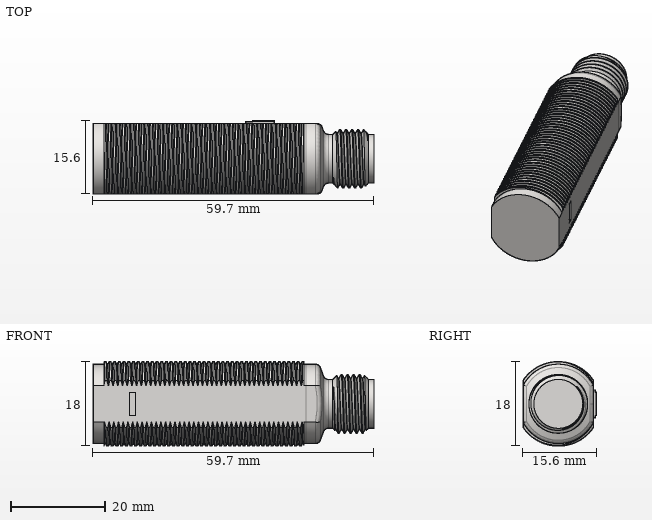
import cadquery as cq
import math

TOTAL_LENGTH = 59.72

BARREL_RADIUS = 8.45
FLAT_HALF_WIDTH = 7.5

BARREL_THREAD_START = 2.25
BARREL_THREAD_END = 44.75
BARREL_THREAD_RADIUS = 9.0
BARREL_THREAD_PITCH = 1.0
BARREL_CREST_WIDTH = 0.36
BARREL_FLANK_ANGLE = 27.0
BARREL_CREST_X = 0.80
BLOCK_TURNS = 6
OVERRUN_TURNS = 3

CAP_START = 45.25
CAP_RIM_X = 48.03
CAP_CONE_ANGLE = 20.0
CAP_RIM_FILLET = 1.1
NECK_RADIUS = 5.2
NECK_FILLET = 1.14

CONNECTOR_THREAD_START = 50.9
CONNECTOR_THREAD_END = 58.5
CONNECTOR_ROOT_RADIUS = 5.4
CONNECTOR_THREAD_RADIUS = 6.25
CONNECTOR_THREAD_PITCH = 1.27
CONNECTOR_CREST_WIDTH = 0.2
CONNECTOR_FLANK_ANGLE = 30.0
CONNECTOR_CREST_X = 49.30
CONNECTOR_TURNS = 8

RIDGE_EMBED = 0.03
SELECT_MARGIN = 0.1

SLOT_START = 7.75
SLOT_WIDTH = 1.25
SLOT_HEIGHT = 4.85
SLOT_DEPTH = 0.75

PAD_START = 32.4
PAD_END = 38.5
PAD_HEIGHT = 6.0
PAD_THICKNESS = 0.4
PAD_TOP_START = 33.9
PAD_TOP_HEIGHT = 5.0
PAD_TOTAL_THICKNESS = 0.6


def cylinder(radius, start, end):
    return cq.Workplane("YZ", origin=(start, 0, 0)).circle(radius).extrude(end - start)


def box(x_range, y_range, height):
    """Box between two X and two Y limits, centred on z = 0."""
    size_x = x_range[1] - x_range[0]
    size_y = y_range[1] - y_range[0]
    corner = (x_range[0], y_range[0], -height / 2)
    return cq.Workplane("XY", origin=corner).box(size_x, size_y, height, centered=False)


def revolve_about_x(points):
    """Solid of revolution from (x, radius) points."""
    return cq.Workplane("XY").polyline(points).close().revolve(360, (0, 0, 0), (1, 0, 0))


def between_flats(start, end):
    return box((start, end), (-FLAT_HALF_WIDTH, FLAT_HALF_WIDTH), 4 * BARREL_RADIUS)


def slab_selector(start, end):
    """Selects edges that lie wholly between two X limits."""
    low = (start - SELECT_MARGIN, -TOTAL_LENGTH, -TOTAL_LENGTH)
    high = (end + SELECT_MARGIN, TOTAL_LENGTH, TOTAL_LENGTH)
    return cq.selectors.BoxSelector(low, high, boundingbox=True)


def thread_ridge(root_radius, crest_radius, crest_width, flank_angle, pitch, first_crest_x, turns):
    """Right-handed ridge around the X axis, starting on the -Y side."""
    inner_radius = root_radius - RIDGE_EMBED
    flank_run = (crest_radius - inner_radius) * math.tan(math.radians(flank_angle))
    half_crest = crest_width / 2
    half_base = half_crest + flank_run
    helix = cq.Wire.makeHelix(pitch, turns * pitch, root_radius)
    section = [
        (inner_radius, -half_base),
        (crest_radius, -half_crest),
        (crest_radius, half_crest),
        (inner_radius, half_base),
    ]
    ridge = cq.Workplane("XZ").polyline(section).close().sweep(helix, isFrenet=True)
    ridge = ridge.rotate((0, 0, 0), (0, 1, 0), 90).rotate((0, 0, 0), (1, 0, 0), -90)
    return ridge.translate((first_crest_x, 0, 0))


def plain_barrel(start, end):
    return cylinder(BARREL_RADIUS, start, end).intersect(between_flats(start, end))


def make_thread_block():
    """Flatted barrel length of BLOCK_TURNS whole turns; copies of it join end to end."""
    half_turn = thread_ridge(
        BARREL_RADIUS,
        BARREL_THREAD_RADIUS,
        BARREL_CREST_WIDTH,
        BARREL_FLANK_ANGLE,
        BARREL_THREAD_PITCH,
        BARREL_CREST_X,
        turns=0.5,
    )
    lower_arc = half_turn.intersect(between_flats(0, CAP_START))
    upper_arc = lower_arc.rotate((0, 0, 0), (1, 0, 0), 180).translate((BARREL_THREAD_PITCH / 2, 0, 0))

    block_end = BARREL_THREAD_START + BLOCK_TURNS * BARREL_THREAD_PITCH
    block = plain_barrel(0, CAP_START).val()
    for first_turn in (0, 1):
        arcs = []
        for turn in range(first_turn, BLOCK_TURNS + OVERRUN_TURNS, 2):
            offset = cq.Vector(turn * BARREL_THREAD_PITCH, 0, 0)
            arcs.append(lower_arc.val().translate(offset))
            arcs.append(upper_arc.val().translate(offset))
        block = block.fuse(*arcs)
    return block.intersect(between_flats(BARREL_THREAD_START, block_end).val())


def make_barrel():
    block = make_thread_block()
    block_length = BLOCK_TURNS * BARREL_THREAD_PITCH
    block_count = math.ceil((BARREL_THREAD_END - BARREL_THREAD_START) / block_length)
    blocks = [block.translate(cq.Vector(i * block_length, 0, 0)) for i in range(block_count)]
    blocks[-1] = blocks[-1].intersect(between_flats(0, BARREL_THREAD_END).val())
    front_end = plain_barrel(0, BARREL_THREAD_START).val()
    rear_end = plain_barrel(BARREL_THREAD_END, CAP_START).val()
    return cq.Workplane(front_end.fuse(*blocks, rear_end).clean())


def make_cap():
    """Flatted rear end of the barrel, its cone and the plain neck."""
    cone_slope = math.tan(math.radians(CAP_CONE_ANGLE))
    cone_end = CAP_RIM_X + (BARREL_RADIUS - NECK_RADIUS) * cone_slope
    profile = [
        (CAP_START, 0),
        (CAP_START, BARREL_RADIUS),
        (CAP_RIM_X, BARREL_RADIUS),
        (cone_end, NECK_RADIUS),
        (TOTAL_LENGTH, NECK_RADIUS),
        (TOTAL_LENGTH, 0),
    ]
    cap = revolve_about_x(profile).intersect(between_flats(CAP_START, TOTAL_LENGTH))
    rim = slab_selector(CAP_RIM_X, CAP_RIM_X + (BARREL_RADIUS - FLAT_HALF_WIDTH) * cone_slope)
    neck_edge = slab_selector(cone_end, cone_end)
    cap = cap.edges(rim).fillet(CAP_RIM_FILLET)
    return cap.edges(neck_edge).fillet(NECK_FILLET)


def make_connector_thread():
    half_length = (CONNECTOR_THREAD_END - CONNECTOR_THREAD_START) / 2
    envelope = revolve_about_x([
        (CONNECTOR_THREAD_START, 0),
        (CONNECTOR_THREAD_START, NECK_RADIUS),
        (CONNECTOR_THREAD_START + half_length, NECK_RADIUS + half_length),
        (CONNECTOR_THREAD_END, NECK_RADIUS),
        (CONNECTOR_THREAD_END, 0),
    ])
    ridge = thread_ridge(
        CONNECTOR_ROOT_RADIUS,
        CONNECTOR_THREAD_RADIUS,
        CONNECTOR_CREST_WIDTH,
        CONNECTOR_FLANK_ANGLE,
        CONNECTOR_THREAD_PITCH,
        CONNECTOR_CREST_X,
        turns=CONNECTOR_TURNS,
    )
    core = cylinder(CONNECTOR_ROOT_RADIUS, CAP_START, TOTAL_LENGTH + CONNECTOR_THREAD_PITCH)
    return core.union(ridge, clean=False).intersect(envelope, clean=False)


def make_slot():
    return box(
        (SLOT_START, SLOT_START + SLOT_WIDTH),
        (-FLAT_HALF_WIDTH, -FLAT_HALF_WIDTH + SLOT_DEPTH),
        SLOT_HEIGHT,
    )


def make_pad():
    lower = box(
        (PAD_START, PAD_END),
        (FLAT_HALF_WIDTH, FLAT_HALF_WIDTH + PAD_THICKNESS),
        PAD_HEIGHT,
    )
    upper = box(
        (PAD_TOP_START, PAD_END),
        (FLAT_HALF_WIDTH, FLAT_HALF_WIDTH + PAD_TOTAL_THICKNESS),
        PAD_TOP_HEIGHT,
    )
    return lower.union(upper)


rear = make_cap().union(make_connector_thread(), clean=False)
front = make_barrel().cut(make_slot(), clean=False).union(make_pad(), clean=False)
result = front.union(rear, clean=False)